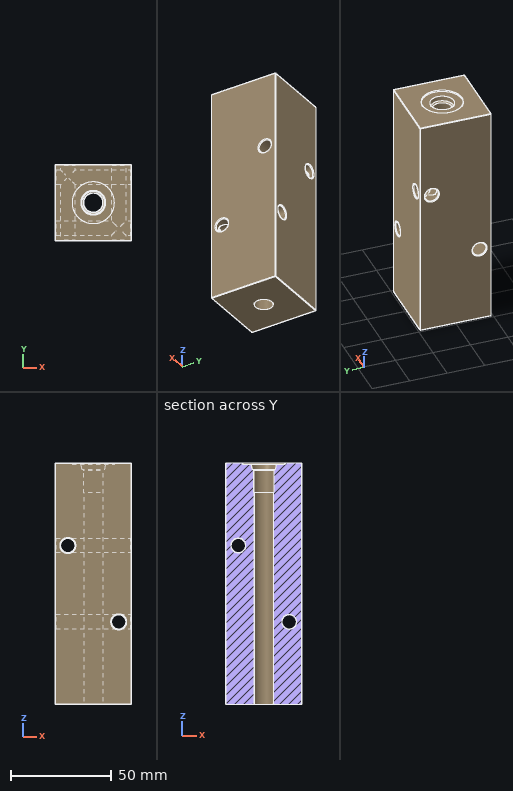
import cadquery as cq
import math

side = 38.1
height = 120.65
edge_break = 0.25

spotface_diameter = 21.0
spotface_depth = 0.8
port_mouth_diameter = 12.4
seal_cone_depth = 2.4
seal_cone_angle = 12.0
lead_in_angle = 45.0
thread_bore_diameter = 9.9
thread_bore_depth = 14.0
passage_diameter = 9.5

hole_diameter = 7.14
countersink_diameter = 8.0
countersink_depth = (countersink_diameter - hole_diameter) / 2
hole_offset = side / 3
hole_rise = side / 2


def make_block():
    return cq.Workplane("XY").box(side, side, height).edges().chamfer(edge_break)


def port_and_passage():
    """Cutter for the top port and the passage running down to the bottom face."""
    top = height / 2
    mouth_radius = port_mouth_diameter / 2
    thread_radius = thread_bore_diameter / 2
    passage_radius = passage_diameter / 2
    spotface_floor = top - spotface_depth
    seal_radius = mouth_radius - seal_cone_depth * math.tan(math.radians(seal_cone_angle))
    seal_floor = spotface_floor - seal_cone_depth
    lead_in_depth = (seal_radius - thread_radius) / math.tan(math.radians(lead_in_angle))
    thread_floor = spotface_floor - thread_bore_depth
    profile = [
        (0, top),
        (spotface_diameter / 2, top),
        (spotface_diameter / 2, spotface_floor),
        (mouth_radius, spotface_floor),
        (seal_radius, seal_floor),
        (thread_radius, seal_floor - lead_in_depth),
        (thread_radius, thread_floor),
        (passage_radius, thread_floor),
        (passage_radius, -top),
        (0, -top),
    ]
    return cq.Workplane("XZ").polyline(profile).close().revolve(360, (0, 0, 0), (0, 1, 0))


def mounting_hole_along_y(x, z):
    """Through-hole cutter along Y, countersunk at both ends."""
    half_length = side / 2
    radius = hole_diameter / 2
    mouth_radius = countersink_diameter / 2
    straight_end = half_length - countersink_depth
    profile = [
        (0, -half_length),
        (mouth_radius, -half_length),
        (radius, -straight_end),
        (radius, straight_end),
        (mouth_radius, half_length),
        (0, half_length),
    ]
    cutter = cq.Workplane("XY").polyline(profile).close().revolve(360, (0, 0, 0), (0, 1, 0))
    return cutter.translate((x, 0, z))


def cut_mounting_holes(body):
    for end in (1, -1):
        along_y = mounting_hole_along_y(-end * hole_offset, end * hole_rise)
        along_x = along_y.rotate((0, 0, 0), (0, 0, 1), -90)
        body = body.cut(along_y).cut(along_x)
    return body


result = cut_mounting_holes(make_block().cut(port_and_passage()))